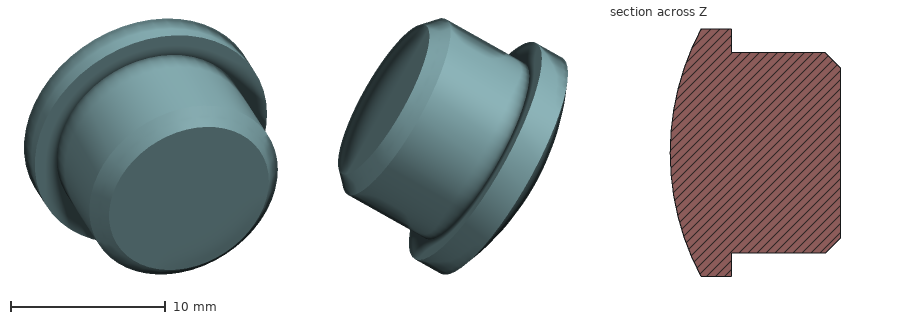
import cadquery as cq

flange_diameter = 16.0
flange_thickness = 2.0
dome_height = 2.0
shank_diameter = 13.0
shank_length = 7.0
tip_chamfer = 1.0

flange_radius = flange_diameter / 2
shank_radius = shank_diameter / 2

flange_back = flange_thickness
shank_end = flange_back + shank_length

dome_radius = (flange_radius**2 + dome_height**2) / (2 * dome_height)
dome_center_x = dome_radius - dome_height

mid_radius = flange_radius / 2
mid_x = dome_center_x - (dome_radius**2 - mid_radius**2) ** 0.5

profile = (
    cq.Workplane("XY")
    .moveTo(-dome_height, 0)
    .threePointArc((mid_x, mid_radius), (0, flange_radius))
    .lineTo(flange_back, flange_radius)
    .lineTo(flange_back, shank_radius)
    .lineTo(shank_end - tip_chamfer, shank_radius)
    .lineTo(shank_end, shank_radius - tip_chamfer)
    .lineTo(shank_end, 0)
    .close()
)
result = profile.revolve(360, (0, 0, 0), (1, 0, 0))